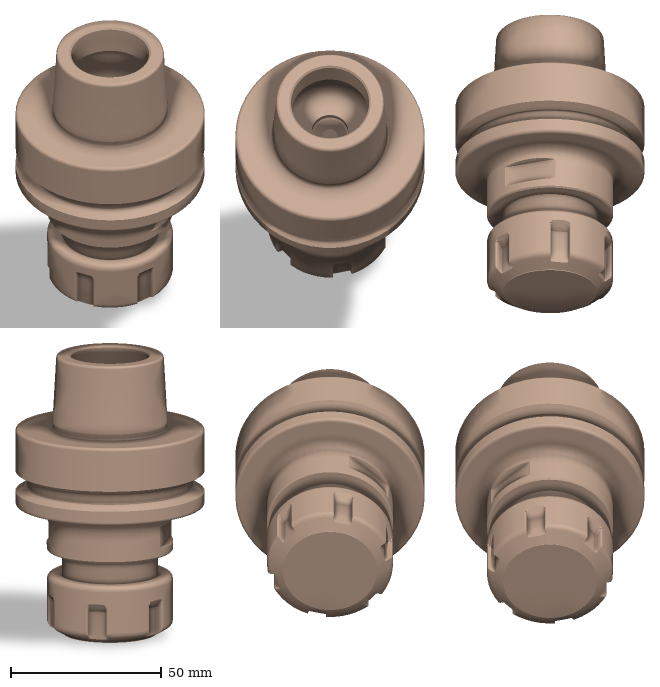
import cadquery as cq
import math

total_height = 95.0

taper_top_radius = 18.0
taper_base_radius = 19.2
taper_base_z = 72.1
taper_edge_round = 0.95
relief_radius = 19.0
relief_top_z = 71.25

flange_radius = 31.5
flange_top_z = 70.1
flange_bottom_z = 43.7
flange_edge_round = 1.0
dish_radius = 20.3
dish_depth = 0.1
dish_round = 0.8
groove_radius = 27.6
groove_shoulder_radius = 28.6
groove_corner_round = 0.4
groove_top_z = 53.7
groove_bottom_z = 50.3
groove_flank_angle = 30.0
groove_flank_height = (flange_radius - groove_shoulder_radius) * math.tan(math.radians(groove_flank_angle))

collar_radius = 21.1
collar_bottom_z = 28.4
collar_root_round = 2.85
collar_chamfer = 0.5
flat_distance = 19.1
flat_top_z = 38.95
flat_bottom_z = 31.8
flat_end_angle = 15.0

neck_radius = 16.0
nut_radius = 21.0
nut_top_z = 20.4
nut_top_round = 1.9
nut_bore_round = 1.4
nut_bottom_round = 2.1
nut_bottom_round_top_z = 4.5
nut_face_radius = 15.7
nut_cone_angle = 30.0

slot_count = 6
slot_floor_distance = 18.3
slot_half_width = 3.1
slot_corner_round = 0.6
slot_mouth_round = 0.6
first_slot_angle = 30
slot_roof_slope = 49.0
tall_slot_floor_height = 13.2
short_slot_floor_height = 11.2

bore_radius = 13.0
bore_chamfer = 0.6
undercut_radius = 16.0
undercut_top_z = 85.5
undercut_floor_z = 72.7
undercut_round = 2.85
pocket_radius = 6.1
pocket_depth = 1.9
countersink_radius = 5.4
countersink_end_radius = 2.6
countersink_tip_angle = 118.0

overlap = 0.95
diagonal = math.sqrt(0.5)


def turned_body():
    """Solid of revolution of the whole outer outline, listed from the nut face up."""
    cone = math.radians(nut_cone_angle)
    cone_top_radius = nut_radius - nut_bottom_round * (1 - math.sin(cone))
    cone_top_z = nut_bottom_round_top_z - nut_bottom_round * math.cos(cone)
    cone_bottom_z = cone_top_z - (cone_top_radius - nut_face_radius) * math.tan(cone)
    round_mid = math.radians((90 - nut_cone_angle) / 2)
    bottom_round_middle = (
        nut_radius - nut_bottom_round * (1 - math.cos(round_mid)),
        nut_bottom_round_top_z - nut_bottom_round * math.sin(round_mid),
    )
    nut_round_radius = nut_radius - nut_top_round
    nut_round_z = nut_top_z - nut_top_round
    bore_round_radius = neck_radius + nut_bore_round
    bore_round_z = nut_top_z - nut_bore_round
    root_radius = collar_radius + collar_root_round
    root_z = flange_bottom_z - collar_root_round
    rim_radius = flange_radius - flange_edge_round
    lower_rim_z = flange_bottom_z + flange_edge_round
    upper_rim_z = flange_top_z - flange_edge_round
    corner_radius = groove_radius + groove_corner_round
    corner_reach = groove_corner_round * diagonal
    lower_corner_z = groove_bottom_z + groove_corner_round
    upper_corner_z = groove_top_z - groove_corner_round
    dish_floor_radius = relief_radius + dish_round
    dish_floor_z = flange_top_z - dish_depth
    dish_round_z = dish_floor_z + dish_round
    top_rim_radius = taper_top_radius - taper_edge_round
    top_rim_z = total_height - taper_edge_round

    outline = (
        cq.Workplane("XZ")
        .lineTo(nut_face_radius, 0)
        .lineTo(nut_face_radius, cone_bottom_z)
        .lineTo(cone_top_radius, cone_top_z)
        .threePointArc(bottom_round_middle, (nut_radius, nut_bottom_round_top_z))
        .lineTo(nut_radius, nut_round_z)
        .threePointArc(
            (nut_round_radius + nut_top_round * diagonal, nut_round_z + nut_top_round * diagonal),
            (nut_round_radius, nut_top_z),
        )
        .lineTo(bore_round_radius, nut_top_z)
        .threePointArc(
            (bore_round_radius - nut_bore_round * diagonal, bore_round_z + nut_bore_round * diagonal),
            (neck_radius, bore_round_z),
        )
        .lineTo(neck_radius, collar_bottom_z)
        .lineTo(collar_radius - collar_chamfer, collar_bottom_z)
        .lineTo(collar_radius, collar_bottom_z + collar_chamfer)
        .lineTo(collar_radius, root_z)
        .threePointArc(
            (root_radius - collar_root_round * diagonal, root_z + collar_root_round * diagonal),
            (root_radius, flange_bottom_z),
        )
        .lineTo(rim_radius, flange_bottom_z)
        .threePointArc(
            (rim_radius + flange_edge_round * diagonal, lower_rim_z - flange_edge_round * diagonal),
            (flange_radius, lower_rim_z),
        )
        .lineTo(flange_radius, groove_bottom_z - groove_flank_height)
        .lineTo(groove_shoulder_radius, groove_bottom_z)
        .lineTo(corner_radius, groove_bottom_z)
        .threePointArc(
            (corner_radius - corner_reach, lower_corner_z - corner_reach),
            (groove_radius, lower_corner_z),
        )
        .lineTo(groove_radius, upper_corner_z)
        .threePointArc(
            (corner_radius - corner_reach, upper_corner_z + corner_reach),
            (corner_radius, groove_top_z),
        )
        .lineTo(groove_shoulder_radius, groove_top_z)
        .lineTo(flange_radius, groove_top_z + groove_flank_height)
        .lineTo(flange_radius, upper_rim_z)
        .threePointArc(
            (rim_radius + flange_edge_round * diagonal, upper_rim_z + flange_edge_round * diagonal),
            (rim_radius, flange_top_z),
        )
        .lineTo(dish_radius, flange_top_z)
        .lineTo(dish_floor_radius, dish_floor_z)
        .threePointArc(
            (dish_floor_radius - dish_round * diagonal, dish_round_z - dish_round * diagonal),
            (relief_radius, dish_round_z),
        )
        .lineTo(relief_radius, relief_top_z)
        .lineTo(taper_base_radius, taper_base_z)
        .lineTo(taper_top_radius, top_rim_z)
        .threePointArc(
            (top_rim_radius + taper_edge_round * diagonal, top_rim_z + taper_edge_round * diagonal),
            (top_rim_radius, total_height),
        )
        .lineTo(0, total_height)
        .close()
    )
    return outline.revolve(360, (0, 0, 0), (0, 1, 0))


def bore():
    """Clamping bore: chamfered mouth, wider undercut, and a countersunk pocket in its floor."""
    pocket_floor_z = undercut_floor_z - pocket_depth
    countersink_depth = (countersink_radius - countersink_end_radius) / math.tan(
        math.radians(countersink_tip_angle / 2)
    )
    countersink_end_z = pocket_floor_z - countersink_depth
    floor_rim_radius = undercut_radius - undercut_round
    floor_rim_z = undercut_floor_z + undercut_round
    outline = (
        cq.Workplane("XZ")
        .moveTo(0, total_height)
        .lineTo(bore_radius + bore_chamfer, total_height)
        .lineTo(bore_radius, total_height - bore_chamfer)
        .lineTo(bore_radius, undercut_top_z)
        .lineTo(undercut_radius, undercut_top_z)
        .lineTo(undercut_radius, floor_rim_z)
        .threePointArc(
            (floor_rim_radius + undercut_round * diagonal, floor_rim_z - undercut_round * diagonal),
            (floor_rim_radius, undercut_floor_z),
        )
        .lineTo(pocket_radius, undercut_floor_z)
        .lineTo(pocket_radius, pocket_floor_z)
        .lineTo(countersink_radius, pocket_floor_z)
        .lineTo(countersink_end_radius, countersink_end_z)
        .lineTo(0, countersink_end_z)
        .close()
    )
    return outline.revolve(360, (0, 0, 0), (0, 1, 0))


def wrench_flat():
    """Cutter for the flat on the +X side of the collar, with sloping ends."""
    outer = collar_radius + overlap
    end_rise = (outer - flat_distance) * math.tan(math.radians(flat_end_angle))
    return (
        cq.Workplane("XZ")
        .moveTo(flat_distance, flat_bottom_z)
        .lineTo(outer, flat_bottom_z - end_rise)
        .lineTo(outer, flat_top_z + end_rise)
        .lineTo(flat_distance, flat_top_z)
        .close()
        .extrude(collar_radius, both=True)
    )


def nut_slot(floor_height):
    """Cutter for a nut slot on the +X side: flat floor, sloping roof and rounded mouth edges."""
    outer = nut_radius + overlap
    roof_rise = math.tan(math.radians(slot_roof_slope))
    pocket = (
        cq.Workplane("XZ")
        .moveTo(slot_floor_distance, 0)
        .lineTo(outer, 0)
        .lineTo(outer, floor_height + (outer - slot_floor_distance) * roof_rise)
        .lineTo(slot_floor_distance, floor_height)
        .close()
        .extrude(slot_half_width, both=True)
    )
    pocket = pocket.faces("<Y or >Y").edges("<X or >Z").fillet(slot_corner_round)

    mouth_half_width = slot_half_width + slot_mouth_round
    mouth_edge = math.sqrt(nut_radius**2 - mouth_half_width**2)
    round_start = mouth_edge - slot_mouth_round
    mouth_top = floor_height + (round_start - slot_floor_distance) * roof_rise
    round_middle = (
        mouth_edge - slot_mouth_round * (1 - diagonal),
        mouth_half_width - slot_mouth_round * diagonal,
    )
    flare = (
        cq.Workplane("XY")
        .moveTo(round_start, 0)
        .lineTo(round_start, slot_half_width)
        .threePointArc(round_middle, (mouth_edge, mouth_half_width))
        .lineTo(outer, mouth_half_width)
        .lineTo(outer, 0)
        .close()
        .extrude(mouth_top)
    )
    return pocket.union(flare).union(flare.mirror("XZ"))


def about_axis(shape, angle):
    return shape.rotate((0, 0, 0), (0, 0, 1), angle)


result = turned_body().cut(bore())

for side_angle in (0, 180):
    result = result.cut(about_axis(wrench_flat(), side_angle))

for index in range(slot_count):
    slot_angle = first_slot_angle + index * 360 / slot_count
    height = short_slot_floor_height if slot_angle < 180 else tall_slot_floor_height
    result = result.cut(about_axis(nut_slot(height), slot_angle))